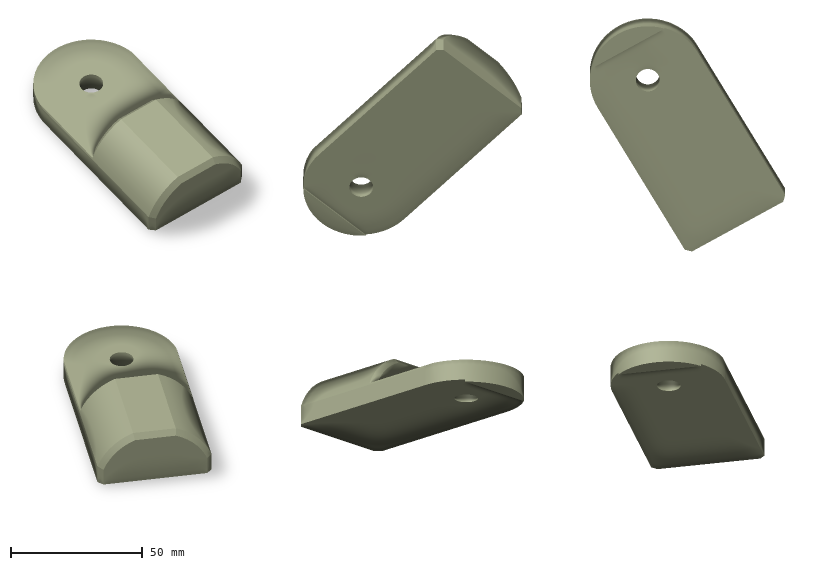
import cadquery as cq
import math

length = 90.0
width = 44.0
plate_thickness = 8.0
head_top = 21.0
head_length = 40.0
hole_diameter = 9.0
shoulder_radius = 23.5
shoulder_center_z = -1.0
chamfer_size = 2.0
lip_depth = 0.8
lip_length = 7.0

end_radius = width / 2
nose_x = -end_radius
tail_x = nose_x + length
head_x = tail_x - head_length


def half_chord(radius, distance):
    """Half the chord of a circle at a distance from its centre."""
    return math.sqrt(radius**2 - distance**2)


def section(start_x, inset=0.0):
    """Domed cross-section on a flat bottom, with its sides and top drawn in by an inset."""
    radius = shoulder_radius - inset
    side = width / 2 - inset
    top = head_top - inset
    flat = half_chord(radius, top - shoulder_center_z)
    side_top = shoulder_center_z + half_chord(radius, side)
    mid_y = (side + flat) / 2
    mid_z = shoulder_center_z + half_chord(radius, mid_y)
    return (
        cq.Workplane("YZ", origin=(start_x, 0, 0))
        .moveTo(-side, 0)
        .lineTo(side, 0)
        .lineTo(side, side_top)
        .threePointArc((mid_y, mid_z), (flat, top))
        .lineTo(-flat, top)
        .threePointArc((-mid_y, mid_z), (-side, side_top))
        .close()
    )


def chamfered_end(end_x, wide_x):
    """Slice of the head that widens from the inset section at end_x to the full one at wide_x."""
    inner = section(end_x, chamfer_size).wire().vals()[0]
    outer = section(wide_x).wire().vals()[0]
    return cq.Workplane(cq.Solid.makeLoft([inner, outer], True))


def rounded_end_prism(bottom_z, top_z, end_x):
    """Plan outline with a full-round nose, running from the nose to end_x."""
    height = top_z - bottom_z
    disc = cq.Workplane("XY", origin=(0, 0, bottom_z)).circle(end_radius).extrude(height)
    bar = (
        cq.Workplane("XY", origin=(0, 0, bottom_z))
        .rect(end_x, width, centered=(False, True))
        .extrude(height)
    )
    return disc.union(bar)


def make_plate():
    """Plate whose upper side edges follow the shoulders; it ends at the tail chamfer."""
    plate_end_x = tail_x - chamfer_size
    bar = section(nose_x).extrude(plate_end_x - nose_x)
    return bar.intersect(rounded_end_prism(0, plate_thickness, plate_end_x))


def make_head():
    """Raised head with both end faces chamfered on every edge but the bottom one."""
    front_x = head_x + chamfer_size
    rear_x = tail_x - chamfer_size
    middle = section(front_x).extrude(rear_x - front_x)
    return middle.union(chamfered_end(head_x, front_x)).union(chamfered_end(tail_x, rear_x))


def make_lip():
    """Segment of the rounded nose that stands below the underside."""
    disc = cq.Workplane("XY", origin=(0, 0, -lip_depth)).circle(end_radius).extrude(lip_depth)
    keep = (
        cq.Workplane("XY", origin=(nose_x, 0, -lip_depth))
        .rect(lip_length, width, centered=(False, True))
        .extrude(lip_depth)
    )
    return disc.intersect(keep)


def make_hole():
    """Through hole on the axis of the rounded nose."""
    return cq.Workplane("XY").circle(hole_diameter / 2).extrude(plate_thickness)


result = make_plate().union(make_head()).union(make_lip()).cut(make_hole())